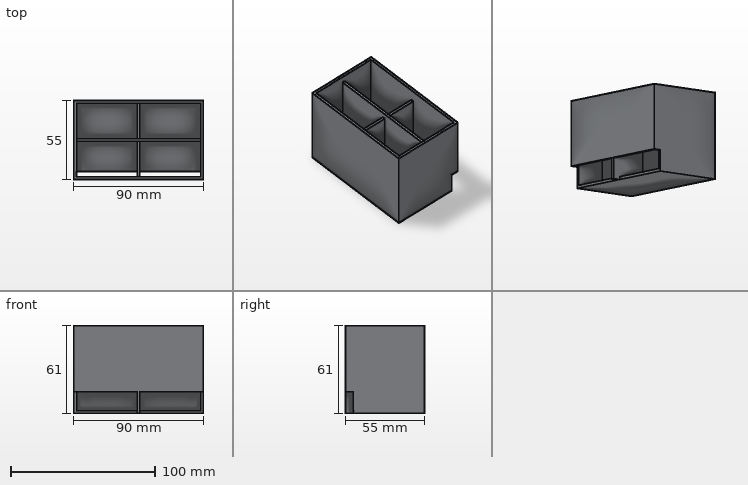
import cadquery as cq

length = 90.0
depth = 55.0
height = 61.0
wall = 2.0

opening_height = 15.0
opening_setback = 5.5

long_divider_offset = 26.5
long_divider_top = height - 5.0
cross_divider_top = height - 9.0


def block(x_range, y_range, z_range):
    """Solid box spanning the given coordinate ranges."""
    sizes = [high - low for low, high in (x_range, y_range, z_range)]
    corner = (x_range[0], y_range[0], z_range[0])
    return cq.Workplane("XY").box(*sizes, centered=False).translate(corner)


def make_shell():
    """Open-topped box with a full-width notch along its lower front edge."""
    outer = block((0, length), (0, depth), (0, height))
    cavity = block((wall, length - wall), (wall, depth - wall), (wall, height))
    notch = block((0, length), (0, opening_setback), (0, opening_height))
    return outer.cut(cavity).cut(notch)


def make_long_divider():
    """Partition between the side walls, standing on the base plane."""
    y_range = (long_divider_offset, long_divider_offset + wall)
    return block((wall, length - wall), y_range, (0, long_divider_top))


def make_cross_divider():
    """Central partition from the front face to the back wall, standing on the base plane."""
    near_x = (length - wall) / 2
    x_range = (near_x, near_x + wall)
    return block(x_range, (0, depth - wall), (0, cross_divider_top))


result = make_shell().union(make_long_divider()).union(make_cross_divider())